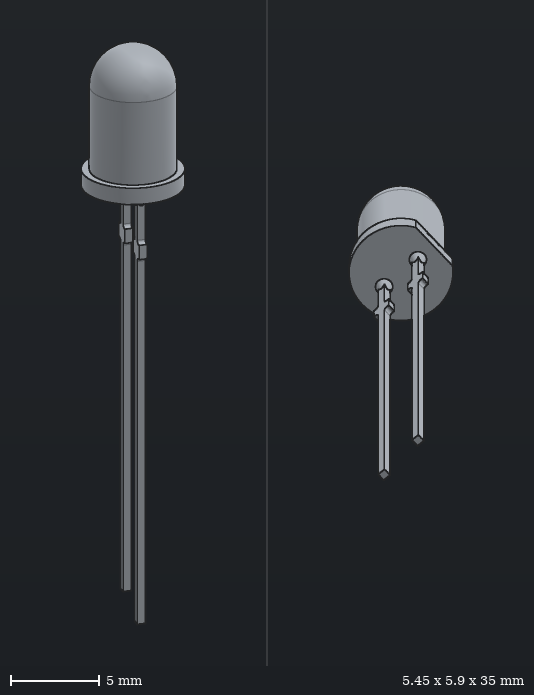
import cadquery as cq

total_height = 35
lens_diameter = 5.0
flange_diameter = 5.9
flange_thickness = 1.0

long_lead_length = 26.4
lead_step = 1.0
lead_pitch = 2.55
lead_side = 0.5
half_lead = lead_side / 2

half_stop = 0.55
stop_depth = 2.98
stop_height = 0.88
stop_fillet = 0.2

collar_radius = 0.5
collar_depth = 0.7

lens_radius = lens_diameter / 2
flange_radius = flange_diameter / 2
lens_top = total_height - long_lead_length
dome_base = lens_top - lens_radius
flat_x = -lens_radius
stop_top = -stop_depth
stop_bottom = stop_top - stop_height


def make_lens():
    """Round lens with a hemispherical top."""
    profile = (
        cq.Workplane("XZ")
        .lineTo(lens_radius, 0)
        .lineTo(lens_radius, dome_base)
        .radiusArc((0, lens_top), -lens_radius)
        .close()
    )
    return profile.revolve(360, (0, 0), (0, 1))


def make_flange():
    """Round flange cut off flat on the -X side."""
    disc = cq.Workplane("XY").circle(flange_radius).extrude(flange_thickness)
    kept_block = cq.Workplane("XY").box(
        flange_radius - flat_x, 2 * flange_radius, flange_thickness, centered=(False, True, False)
    )
    return disc.intersect(kept_block.translate((flat_x, 0, 0)))


def make_stop():
    """Stop on a lead centred on Z, filleted into the lead on both sides."""
    fillet_end = half_lead + stop_fillet
    half = (
        cq.Workplane("XZ")
        .moveTo(0, stop_top + stop_fillet)
        .lineTo(half_lead, stop_top + stop_fillet)
        .radiusArc((fillet_end, stop_top), -stop_fillet)
        .lineTo(half_stop, stop_top)
        .lineTo(half_stop, stop_bottom)
        .lineTo(fillet_end, stop_bottom)
        .radiusArc((half_lead, stop_bottom - stop_fillet), -stop_fillet)
        .lineTo(0, stop_bottom - stop_fillet)
        .close()
        .extrude(half_lead, both=True)
    )
    return half.union(half.mirror("YZ"))


def make_collar():
    """Cone that narrows from the flange underside to the lead width."""
    profile = (
        cq.Workplane("XZ")
        .lineTo(collar_radius, 0)
        .lineTo(half_lead, -collar_depth)
        .lineTo(0, -collar_depth)
        .close()
    )
    return profile.revolve(360, (0, 0), (0, 1))


def make_lead(length):
    """Square lead centred on Z, with its stop and collar."""
    bar = cq.Workplane("XY").rect(lead_side, lead_side).extrude(-length)
    return bar.union(make_stop()).union(make_collar())


result = make_lens().union(make_flange())
for lead_x, lead_length in (
    (-lead_pitch / 2, long_lead_length - lead_step),
    (lead_pitch / 2, long_lead_length),
):
    result = result.union(make_lead(lead_length).translate((lead_x, 0, 0)))